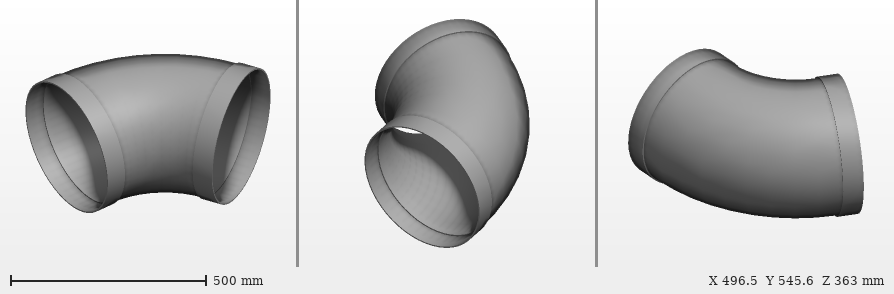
import cadquery as cq
import math

pipe_diameter = 355.0
wall = 4.0
bend_radius = 355.0
bend_angle = 60.0
socket_length = 54.0
shoulder_thickness = 2.0

pipe_bore = pipe_diameter - 2 * wall
socket_diameter = pipe_diameter + 2 * wall
socket_bore_depth = socket_length - shoulder_thickness
turn = math.radians(bend_angle)

bend_end = (bend_radius * (1 - math.cos(turn)), bend_radius * math.sin(turn), 0)
end_direction = (math.sin(turn), math.cos(turn), 0)


def make_bend():
    """Curved pipe: an annulus revolved about the bend center."""
    return (
        cq.Workplane("XZ")
        .circle(pipe_diameter / 2)
        .circle(pipe_bore / 2)
        .revolve(bend_angle, (bend_radius, 0, 0), (bend_radius, -1, 0))
    )


def make_socket(origin, direction):
    """Straight socket pointing outward, with a shoulder at the pipe end."""
    plane = cq.Plane(origin=origin, xDir=(0, 0, 1), normal=direction)
    shoulder = (
        cq.Workplane(plane)
        .circle(socket_diameter / 2)
        .circle(pipe_bore / 2)
        .extrude(shoulder_thickness)
    )
    sleeve = (
        cq.Workplane(plane)
        .workplane(offset=shoulder_thickness)
        .circle(socket_diameter / 2)
        .circle(pipe_diameter / 2)
        .extrude(socket_bore_depth)
    )
    return shoulder.union(sleeve)


result = make_bend()
for origin, direction in (((0, 0, 0), (0, -1, 0)), (bend_end, end_direction)):
    result = result.union(make_socket(origin, direction))